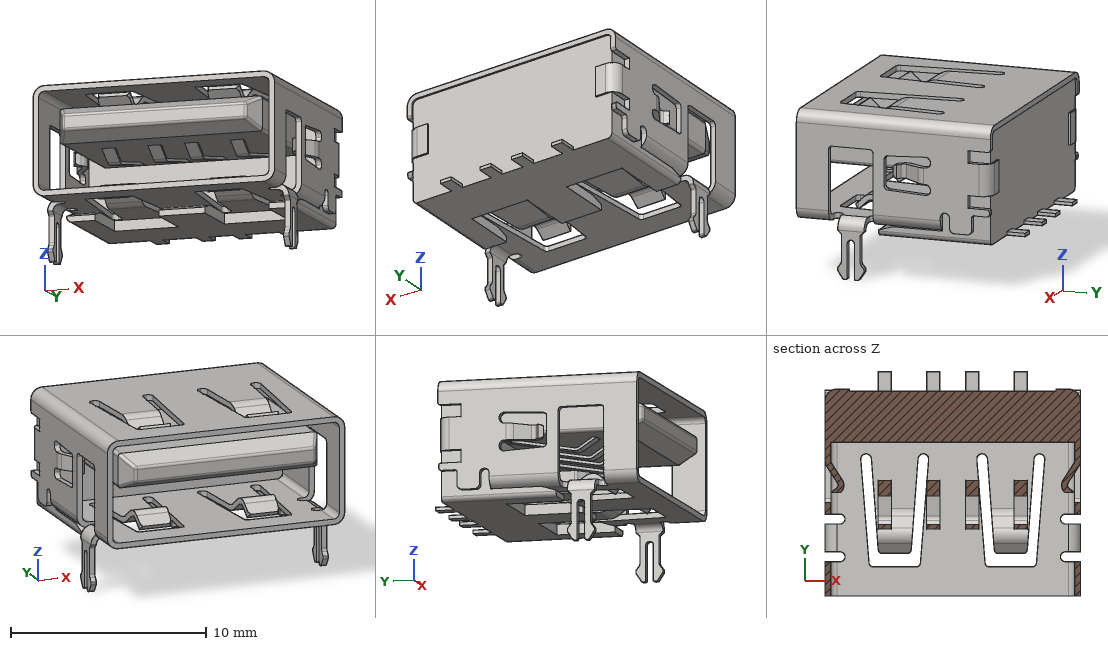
import cadquery as cq
import math

WIDTH = 13.1
HEIGHT = 5.76
SHELL_LENGTH = 10.61
SHEET = 0.3
CORNER_RADIUS = 0.62
TUBE_FLOOR_LENGTH = 7.87
HALF_WIDTH = WIDTH / 2
INNER_HALF_WIDTH = HALF_WIDTH - SHEET
FULL_ROUND = 0.98

FACE_SPRING = dict(
    window_back=(1.75, 7.28), window_front=(1.3, 1.5), window_radius=0.2,
    leaf_back=(1.22, 7.28), leaf_tip=(0.84, 2.16), tip_radius=0.26,
    bend_start=4.49, first_radius=0.98, dip_angle=35.0, slope=0.76,
    second_radius=0.33, rise_angle=42.0, lip=0.68,
)
FACE_SPRING_OFFSET = 2.97

SIDE_SPRING = dict(
    window_back=(1.02, 7.34), window_front=(0.89, 4.81), window_radius=0.2,
    leaf_back=(0.46, 7.34), leaf_tip=(0.34, 5.06), tip_radius=0.26,
    bend_start=6.97, first_radius=0.65, dip_angle=33.0, slope=0.98,
    second_radius=0.2, rise_angle=55.0, lip=0.29,
)
SIDE_SPRING_HEIGHT = 2.9

WINDOW_FRONT = 1.77
WINDOW_BACK = 4.19
WINDOW_TOP = 4.05
WINDOW_RADIUS = 0.2
LEG_Y = (WINDOW_FRONT + WINDOW_BACK) / 2
LEG_HALF_ROOT = 0.72
LEG_HALF_STEM = 0.51
LEG_BEND_RADIUS = 0.65
LEG_SHOULDER_TOP = -0.35
LEG_SHOULDER_FOOT = -0.55
LEG_BOTTOM = -2.93
LEG_BARB_TOP = -2.06
LEG_BARB_WIDEST = (-2.33, -2.48)
LEG_HALF_TIP = 0.42
LEG_EDGE_RADIUS = 0.08
LEG_NECK_RADIUS = 0.26
LEG_OVERLAP = 0.3
LEG_SLIT_HALF = 0.2
LEG_SLIT_TOP = -0.84
RELIEF_END = 5.53

NOTCH_FRONT = 9.38
UPPER_NOTCH = (3.79, 4.45)
LOWER_NOTCH = (1.41, 2.08)
REAR_EDGE_LOW = 10.56
SKIRT_TOP = 1.03
SKIRT_TAB = (8.38, 9.59)
SKIRT_TAB_RADIUS = 0.26
REAR_EDGE_RADIUS = 0.13
WRAP_LENGTH = 0.65

HOUSING_BACK = 10.5
HOUSING_WALL_FRONT = TUBE_FLOOR_LENGTH
BASE_BOTTOM = -0.55
BASE_FRONT = 4.39
BASE_RAMP_BACK = 5.16
BASE_RAMP_FOOT = -0.24
BASE_RADIUS = 0.26
BASE_BLOCK_TOP = 0.79
POCKET_X = (1.25, 4.72)
POCKET_BACK = 7.47

TONGUE_HALF_WIDTH = 5.49
TONGUE_BOTTOM = 2.87
TONGUE_TOP = 4.72
TONGUE_FRONT = 0.07
NOSE_LENGTH = 1.1
NOSE_INSET = 0.51
TONGUE_RADIUS = 0.17

PIN_X = (-3.48, -1.0, 1.0, 3.48)
PIN_WIDTH = 0.68
PIN_THICKNESS = 0.18
PIN_END = 11.5
TAIL_OVERLAP = 0.65
CONTACT_THICKNESS = 0.15
CONTACT_START = (8.12, 3.0)
CONTACT_FALL = 10.0
CONTACT_FALL_LENGTH = 4.06
CONTACT_RADIUS = 0.39
CONTACT_RISE = 33.0
CONTACT_RISE_LENGTH = 1.18


def rounded_outline(plane, corners):
    """Closed outline through (x, y, radius) corners; radius 0 keeps a corner sharp."""
    points = []
    for i, (x, y, radius) in enumerate(corners):
        corner = cq.Vector(x, y)
        to_last = (cq.Vector(*corners[i - 1][:2]) - corner).normalized()
        to_next = (cq.Vector(*corners[(i + 1) % len(corners)][:2]) - corner).normalized()
        half_angle = to_last.getAngle(to_next) / 2
        trim = radius / math.tan(half_angle)
        bisector = (to_last + to_next).normalized() if radius else cq.Vector()
        middle = corner + bisector * (radius / math.sin(half_angle) - radius)
        points.append((corner + to_last * trim, middle, corner + to_next * trim, radius))
    outline = cq.Workplane(plane).moveTo(points[0][2].x, points[0][2].y)
    for start, middle, end, radius in points[1:] + points[:1]:
        outline = outline.lineTo(start.x, start.y)
        if radius:
            outline = outline.threePointArc((middle.x, middle.y), (end.x, end.y))
    return outline.close()


def ribbon(plane, start, heading, moves, thickness):
    """Outline of a bent strip. A move is (length, 0) for a straight stretch or
    (radius, turn) for a bend of the middle line; positive turns go left."""
    x, y = start
    angle = math.radians(heading)

    def both_sides(px, py, direction):
        dx = -math.sin(direction) * thickness / 2
        dy = math.cos(direction) * thickness / 2
        return (px + dx, py + dy), (px - dx, py - dy)

    stations = [(None, both_sides(x, y, angle))]
    for size, turn in moves:
        if turn == 0:
            x += size * math.cos(angle)
            y += size * math.sin(angle)
            stations.append((None, both_sides(x, y, angle)))
            continue
        signed = math.copysign(size, turn)
        cx = x - signed * math.sin(angle)
        cy = y + signed * math.cos(angle)
        half_way = angle + math.radians(turn) / 2
        angle += math.radians(turn)
        middle = both_sides(cx + signed * math.sin(half_way), cy - signed * math.cos(half_way), half_way)
        x = cx + signed * math.sin(angle)
        y = cy - signed * math.cos(angle)
        stations.append((middle, both_sides(x, y, angle)))

    outline = cq.Workplane(plane).moveTo(*stations[0][1][0])
    for middle, end in stations[1:]:
        outline = outline.threePointArc(middle[0], end[0]) if middle else outline.lineTo(*end[0])
    outline = outline.lineTo(*stations[-1][1][1])
    for i in range(len(stations) - 1, 0, -1):
        middle = stations[i][0]
        end = stations[i - 1][1][1]
        outline = outline.threePointArc(middle[1], end) if middle else outline.lineTo(*end)
    return outline.close()


def block(x_range, y_range, z_range):
    size = [high - low for low, high in (x_range, y_range, z_range)]
    return cq.Workplane("XY").box(*size, centered=False).translate((x_range[0], y_range[0], z_range[0]))


def both_hands(left):
    return left.union(left.mirror("YZ"))



def spring(window_back, window_front, window_radius, leaf_back, leaf_tip, tip_radius, bend_start,
           first_radius, dip_angle, slope, second_radius, rise_angle, lip):
    """Return the window to cut and the bent leaf to add."""
    taper = (leaf_back[0] - leaf_tip[0]) / (leaf_back[1] - leaf_tip[1])
    bend_half = leaf_back[0] - taper * (leaf_back[1] - bend_start)
    slot_radius = FULL_ROUND * (window_back[0] - leaf_back[0]) / 2
    right_half = [
        (bend_half, bend_start, 0),
        (*leaf_back, slot_radius),
        (*window_back, slot_radius),
        (*window_front, window_radius),
    ]
    left_half = [(-x, y, radius) for x, y, radius in reversed(right_half)]
    window = rounded_outline("XY", right_half + left_half).extrude(-SHEET)

    moves = [
        (first_radius - SHEET / 2, dip_angle),
        (slope, 0),
        (second_radius + SHEET / 2, -dip_angle - rise_angle),
        (lip, 0),
    ]
    strip = ribbon("YZ", (bend_start, -SHEET / 2), 180, moves, SHEET)
    strip = strip.extrude(bend_half, both=True)
    plan = rounded_outline("XY", [
        (bend_half, bend_start, 0), (*leaf_tip, tip_radius),
        (-leaf_tip[0], leaf_tip[1], tip_radius), (-bend_half, bend_start, 0),
    ]).extrude(HEIGHT / 2, both=True)
    return window, strip.intersect(plan)


def face_spring_set(local):
    roof = both_hands(local.translate((-FACE_SPRING_OFFSET, 0, HEIGHT)))
    return roof.union(roof.mirror("XY", (0, 0, HEIGHT / 2)))


def side_spring_set(local):
    turned = local.rotate((0, 0, 0), (0, 1, 0), -90)
    return both_hands(turned.translate((-HALF_WIDTH, 0, SIDE_SPRING_HEIGHT)))



def rounded_bar(half_width, low, high, radius, y_range):
    bar = block((-half_width, half_width), y_range, (low, high))
    return bar.edges("|Y").fillet(radius)


def side_wall_rear():
    """Left wall behind the tube floor, with its notches and skirt tab."""
    top = HEIGHT - CORNER_RADIUS
    wrap_start = SHELL_LENGTH - CORNER_RADIUS
    tab_front, tab_back = SKIRT_TAB
    slot_radius = FULL_ROUND * (tab_front - TUBE_FLOOR_LENGTH) / 2
    wall = rounded_outline("YZ", [
        (TUBE_FLOOR_LENGTH, CORNER_RADIUS, 0), (TUBE_FLOOR_LENGTH - SHEET, CORNER_RADIUS, 0),
        (TUBE_FLOOR_LENGTH - SHEET, top, 0), (SHELL_LENGTH, top, 0),
        (SHELL_LENGTH, UPPER_NOTCH[1], REAR_EDGE_RADIUS), (NOTCH_FRONT, UPPER_NOTCH[1], 0),
        (NOTCH_FRONT, UPPER_NOTCH[0], 0), (wrap_start, UPPER_NOTCH[0], 0),
        (wrap_start, LOWER_NOTCH[1], 0), (NOTCH_FRONT, LOWER_NOTCH[1], 0),
        (NOTCH_FRONT, LOWER_NOTCH[0], 0), (REAR_EDGE_LOW, LOWER_NOTCH[0], REAR_EDGE_RADIUS),
        (REAR_EDGE_LOW, SKIRT_TOP, REAR_EDGE_RADIUS), (tab_back, SKIRT_TOP, REAR_EDGE_RADIUS),
        (tab_back, 0, SKIRT_TAB_RADIUS), (tab_front, 0, SKIRT_TAB_RADIUS),
        (tab_front, SKIRT_TOP, slot_radius), (TUBE_FLOOR_LENGTH, SKIRT_TOP, slot_radius),
    ]).extrude(SHEET).translate((-HALF_WIDTH, 0, 0))
    wrap_moves = [(CORNER_RADIUS - SHEET / 2, -90), (WRAP_LENGTH, 0)]
    wrap = ribbon("XY", (-HALF_WIDTH + SHEET / 2, wrap_start), 90, wrap_moves, SHEET)
    wrap = wrap.extrude(UPPER_NOTCH[0] - LOWER_NOTCH[1]).translate((0, 0, LOWER_NOTCH[1]))
    return wall.union(wrap)


def leg_window():
    """Opening in the left wall, including the relief notches beside the leg root."""
    edge = -HALF_WIDTH + CORNER_RADIUS
    opening = rounded_outline("YZ", [
        (WINDOW_FRONT, 0, 0), (WINDOW_FRONT, WINDOW_TOP, WINDOW_RADIUS),
        (WINDOW_BACK, WINDOW_TOP, WINDOW_RADIUS), (WINDOW_BACK, 0, 0),
    ]).extrude(CORNER_RADIUS).translate((-HALF_WIDTH, 0, 0))
    relief_width = WINDOW_BACK - LEG_Y - LEG_HALF_ROOT
    radius = FULL_ROUND * relief_width / 2
    for low in (WINDOW_FRONT, WINDOW_BACK - relief_width):
        notch = rounded_outline("XY", [
            (edge, low, 0), (-RELIEF_END, low, radius),
            (-RELIEF_END, low + relief_width, radius), (edge, low + relief_width, 0),
        ]).extrude(SHEET)
        opening = opening.union(notch)
    return opening


def board_leg():
    """Left leg: strip bent down from the floor, trimmed to a split barbed stem."""
    root_x = -HALF_WIDTH + LEG_BEND_RADIUS
    bend_z = SHEET - LEG_BEND_RADIUS
    moves = [(LEG_OVERLAP, 0), (LEG_BEND_RADIUS - SHEET / 2, 90), (bend_z - LEG_BOTTOM, 0)]
    strip = ribbon("XZ", (root_x + LEG_OVERLAP, SHEET / 2), 180, moves, SHEET)
    strip = strip.extrude(-2 * LEG_Y)
    back_half = [
        (LEG_HALF_ROOT, SHEET, 0), (LEG_HALF_ROOT, LEG_SHOULDER_TOP, LEG_EDGE_RADIUS),
        (LEG_HALF_STEM, LEG_SHOULDER_FOOT, LEG_EDGE_RADIUS), (LEG_HALF_STEM, LEG_BARB_TOP, LEG_NECK_RADIUS),
        (LEG_HALF_ROOT, LEG_BARB_WIDEST[0], LEG_EDGE_RADIUS),
        (LEG_HALF_ROOT, LEG_BARB_WIDEST[1], LEG_EDGE_RADIUS),
        (LEG_HALF_TIP, LEG_BOTTOM, LEG_EDGE_RADIUS), (LEG_SLIT_HALF, LEG_BOTTOM, LEG_EDGE_RADIUS),
        (LEG_SLIT_HALF, LEG_SLIT_TOP, FULL_ROUND * LEG_SLIT_HALF),
    ]
    front_half = [(-y, z, radius) for y, z, radius in reversed(back_half)]
    profile = rounded_outline("YZ", back_half + front_half)
    profile = profile.extrude(HALF_WIDTH, both=True).translate((0, LEG_Y, 0))
    return strip.intersect(profile)


def make_shell():
    tube = rounded_bar(HALF_WIDTH, 0, HEIGHT, CORNER_RADIUS, (0, SHELL_LENGTH))
    bore = rounded_bar(INNER_HALF_WIDTH, SHEET, HEIGHT - SHEET, CORNER_RADIUS - SHEET, (0, SHELL_LENGTH))
    shell = tube.cut(bore)
    below_roof = (0, HEIGHT - CORNER_RADIUS)
    shell = shell.cut(block((-HALF_WIDTH, HALF_WIDTH), (TUBE_FLOOR_LENGTH, SHELL_LENGTH), below_roof))
    shell = shell.union(both_hands(side_wall_rear()))
    shell = shell.cut(both_hands(leg_window()))
    face_window, face_leaf = spring(**FACE_SPRING)
    side_window, side_leaf = spring(**SIDE_SPRING)
    shell = shell.cut(face_spring_set(face_window)).cut(side_spring_set(side_window))
    shell = shell.union(face_spring_set(face_leaf)).union(side_spring_set(side_leaf))
    return shell.union(both_hands(board_leg()))



def make_tongue():
    height = TONGUE_TOP - TONGUE_BOTTOM
    middle = (TONGUE_TOP + TONGUE_BOTTOM) / 2
    width = 2 * TONGUE_HALF_WIDTH
    nose_back = TONGUE_FRONT + NOSE_LENGTH
    nose = (
        cq.Workplane("XZ", origin=(0, nose_back, middle))
        .rect(width, height)
        .workplane(offset=NOSE_LENGTH)
        .rect(width - 2 * NOSE_INSET, height - 2 * NOSE_INSET)
        .loft(combine=True)
    )
    nose = nose.edges("not >Y").fillet(TONGUE_RADIUS)
    slab = rounded_bar(TONGUE_HALF_WIDTH, TONGUE_BOTTOM, TONGUE_TOP, TONGUE_RADIUS,
                       (nose_back, HOUSING_WALL_FRONT))
    return slab.union(nose)


def make_housing():
    wall = rounded_bar(INNER_HALF_WIDTH, SHEET, HEIGHT - SHEET, CORNER_RADIUS - SHEET,
                       (HOUSING_WALL_FRONT, HOUSING_BACK))
    base = (
        cq.Workplane("YZ")
        .polyline([
            (BASE_FRONT, BASE_BOTTOM), (HOUSING_BACK, BASE_BOTTOM), (HOUSING_BACK, BASE_BLOCK_TOP),
            (TUBE_FLOOR_LENGTH, BASE_BLOCK_TOP), (TUBE_FLOOR_LENGTH, 0), (BASE_RAMP_BACK, 0),
            (BASE_FRONT, BASE_RAMP_FOOT),
        ])
        .close()
        .extrude(INNER_HALF_WIDTH, both=True)
    )
    base = base.edges("|Y and <Z").fillet(BASE_RADIUS)
    left_pocket = (-POCKET_X[1], -POCKET_X[0])
    base = base.cut(both_hands(block(left_pocket, (BASE_FRONT, POCKET_BACK), (BASE_BOTTOM, 0))))
    return wall.union(base).union(make_tongue())


def make_pins():
    """Solder tail behind the housing and bowed contact below the tongue, four times."""
    moves = [
        (CONTACT_FALL_LENGTH, 0),
        (CONTACT_RADIUS, -CONTACT_FALL - CONTACT_RISE),
        (CONTACT_RISE_LENGTH, 0),
    ]
    contact = ribbon("YZ", CONTACT_START, 180 + CONTACT_FALL, moves, CONTACT_THICKNESS)
    contact = contact.extrude(PIN_WIDTH / 2, both=True)
    tail = block((-PIN_WIDTH / 2, PIN_WIDTH / 2), (HOUSING_BACK - TAIL_OVERLAP, PIN_END),
                 (BASE_BOTTOM, BASE_BOTTOM + PIN_THICKNESS))
    return [solid.translate(cq.Vector(x, 0, 0)) for x in PIN_X for solid in (contact.val(), tail.val())]


result = make_shell().union(make_housing())
for pin_solid in make_pins():
    result = result.union(cq.Workplane(pin_solid))